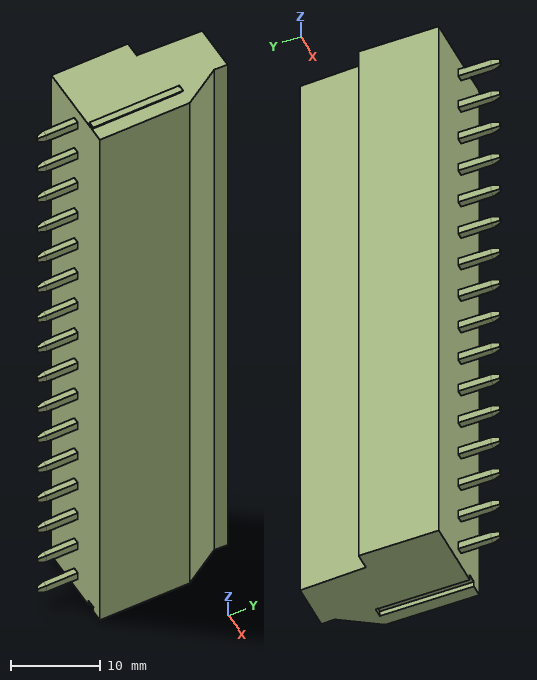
import cadquery as cq


pole_count = 16
housing_length = 79.9
housing_width = 11.2
housing_depth = 18.0
pole_pitch = housing_length / pole_count

ledge_depth = 9.8
ledge_width = 2.0
neck_left = 2.3
neck_right = 8.2
slope_top_x = 8.1
slope_top_y = 16.35
slope_foot_y = 11.5

rail_height = 0.6
rail_right = 9.7
rail_width = 0.9
rail_reach = 11.5
rail_undercut = 0.3
slot_depth = 0.7
slot_clearance = 0.25

pin_x = 5.7
pin_width = 0.8
pin_height = 1.05
pin_length = 5.0
tip_width = 0.4
tip_height = 0.65
tip_length = 1.0


def make_housing():
    outline = [
        (0, 0),
        (housing_width, 0),
        (housing_width, slope_foot_y),
        (slope_top_x, slope_top_y),
        (neck_right, housing_depth),
        (neck_left, housing_depth),
        (ledge_width, ledge_depth),
        (0, ledge_depth),
    ]
    return cq.Workplane("XY").polyline(outline).close().extrude(housing_length)


def make_rail():
    """Dovetail rail, narrow at the housing and wide at its free face; its inner end is undercut too."""
    left = rail_right - rail_width
    profile = [
        (left + rail_undercut, housing_length),
        (rail_right - rail_undercut, housing_length),
        (rail_right, housing_length + rail_height),
        (left, housing_length + rail_height),
    ]
    rail = cq.Workplane("XZ").polyline(profile).close().extrude(-rail_reach)
    end_cut = [
        (rail_reach - rail_undercut, housing_length),
        (rail_reach, housing_length),
        (rail_reach, housing_length + rail_height),
    ]
    return rail.cut(cq.Workplane("YZ").polyline(end_cut).close().extrude(housing_width))


def make_slot():
    """Straight slot that takes the rail of the next block."""
    slot_width = rail_width + slot_clearance
    return cq.Workplane("XY").box(slot_width, rail_reach, slot_depth, centered=False).translate(
        (rail_right - slot_width, 0, 0)
    )


def make_pin(z):
    """Rectangular pin that tapers to a smaller tip."""
    shank_length = pin_length - tip_length
    shank = cq.Workplane("XZ").center(pin_x, z).rect(pin_width, pin_height).extrude(shank_length)
    tip = (
        cq.Workplane("XZ", origin=(pin_x, -shank_length, z))
        .rect(pin_width, pin_height)
        .workplane(offset=tip_length)
        .rect(tip_width, tip_height)
        .loft()
    )
    return shank.union(tip)


result = make_housing().union(make_rail()).cut(make_slot())
for pole in range(pole_count):
    result = result.union(make_pin((pole + 0.5) * pole_pitch))